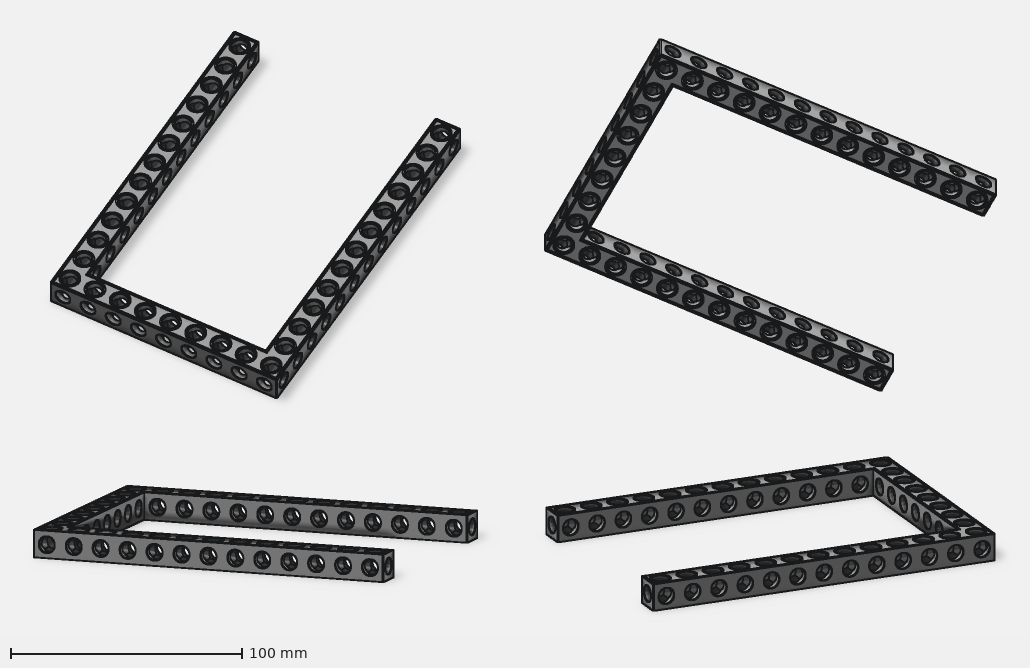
import cadquery as cq

pitch = 12.5
holes_across = 9
holes_along = 13
width = holes_across * pitch
length = holes_along * pitch

hole_diameter = 7.0
side_mouth_chamfer = 0.3
corner_chamfer = 0.5

step_height = 0.1
lower_step_inset = 0.6
upper_step_inset = 1.1
lower_mouth_diameter = 7.7
upper_mouth_diameter = 9.2

steps = [
    (lower_step_inset, lower_mouth_diameter),
    (upper_step_inset, upper_mouth_diameter),
]
core_height = pitch - 2 * step_height * len(steps)


def grid_positions(count):
    """Centres of `count` holes one pitch apart, symmetric about zero."""
    return [(i - (count - 1) / 2) * pitch for i in range(count)]


columns = grid_positions(holes_across)
rows = grid_positions(holes_along)
arm_columns = (columns[0], columns[-1])
base_row = rows[0]
vertical_hole_centres = [(x, base_row) for x in columns]
vertical_hole_centres += [(x, y) for x in arm_columns for y in rows[1:]]


def u_outline(inset):
    """Corner points of the U, open towards +Y, with every side moved inward by `inset`."""
    outer_x = width / 2 - inset
    inner_x = width / 2 - pitch + inset
    end_y = length / 2 - inset
    inner_y = -length / 2 + pitch - inset
    return [
        (-outer_x, -end_y),
        (outer_x, -end_y),
        (outer_x, end_y),
        (inner_x, end_y),
        (inner_x, inner_y),
        (-inner_x, inner_y),
        (-inner_x, end_y),
        (-outer_x, end_y),
    ]


def layer(inset, mouth_diameter, height):
    """U-shaped plate pierced by the vertical holes, centred on the middle plane."""
    plate = cq.Workplane("XY").polyline(u_outline(inset)).close().extrude(height / 2, both=True)
    holes = (
        cq.Workplane("XY")
        .pushPoints(vertical_hole_centres)
        .circle(mouth_diameter / 2)
        .extrude(height / 2, both=True)
    )
    return plate.cut(holes)


def stepped_frame():
    """Core plate with thin plates of shrinking outline stacked on its top and bottom."""
    frame = layer(0, hole_diameter, core_height)
    for level, (inset, mouth_diameter) in enumerate(steps):
        floor = core_height / 2 + level * step_height
        plate = layer(inset, mouth_diameter, step_height)
        for side in (1, -1):
            frame = frame.union(plate.translate((0, 0, side * (floor + step_height / 2))))
    return frame


def corner_cutter():
    """Prism along Z that takes the chamfer off a vertical edge at the origin."""
    leg = corner_chamfer
    corner = [(leg, 0), (0, leg), (-leg, 0), (0, -leg)]
    return cq.Workplane("XY").polyline(corner).close().extrude(pitch / 2, both=True)


def chamfer_corners(frame):
    """Chamfer the six vertical edges at the outside of the base and the arm ends."""
    cutter = corner_cutter()
    arm_inner_x = width / 2 - pitch
    for side in (1, -1):
        for x, y in (
            (width / 2, -length / 2),
            (width / 2, length / 2),
            (arm_inner_x, length / 2),
        ):
            frame = frame.cut(cutter.translate((side * x, y, 0)))
    return frame


def drill(depth):
    """Drill along Z, centred on the origin, with a chamfer cone at each end."""
    radius = hole_diameter / 2
    mouth_radius = radius + side_mouth_chamfer
    end = depth / 2
    neck = end - side_mouth_chamfer
    half_profile = [
        (0, -end),
        (mouth_radius, -end),
        (radius, -neck),
        (radius, neck),
        (mouth_radius, end),
        (0, end),
    ]
    return cq.Workplane("XZ").polyline(half_profile).close().revolve(360, (0, 0), (0, 1))


def drill_along_x(depth):
    return drill(depth).rotate((0, 0, 0), (0, 1, 0), 90)


def drill_along_y(depth):
    return drill(depth).rotate((0, 0, 0), (1, 0, 0), 90)


def drill_sides(frame):
    """Horizontal holes: across each beam, and lengthwise through the base and arms."""
    frame = frame.cut(drill_along_x(width).translate((0, base_row, 0)))
    across_arm = drill_along_x(pitch)
    along_arm = drill_along_y(length)
    for x in arm_columns:
        frame = frame.cut(along_arm.translate((x, 0, 0)))
        for y in rows[1:]:
            frame = frame.cut(across_arm.translate((x, y, 0)))
    across_base = drill_along_y(pitch)
    for x in columns[1:-1]:
        frame = frame.cut(across_base.translate((x, base_row, 0)))
    return frame


result = drill_sides(chamfer_corners(stepped_frame()))